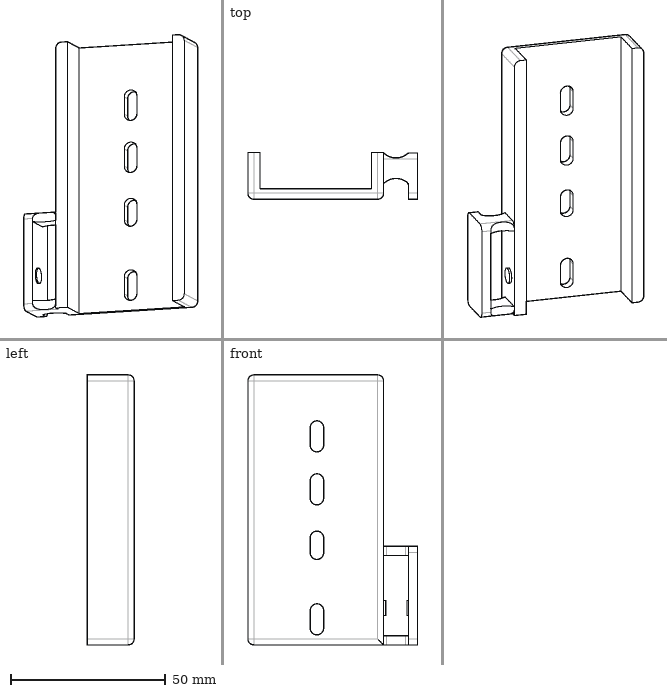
import cadquery as cq

height = 87.5
body_width = 44.0
body_depth = 15.2
side_wall = 4.0
back_wall = 3.5
edge_radius = 2.0

slot_width = 4.3
slot_x = 22.4
slots = [(8.3, 10.0), (32.3, 9.1), (50.4, 10.0), (67.55, 10.0)]

total_width = 55.0
clip_height = 32.0
clip_depth = 15.05
clip_wall = 3.1
gap_start = body_width
gap_end = total_width - clip_wall
gap_width = gap_end - gap_start
gap_middle = (gap_start + gap_end) / 2

front_wall_side_y = 5.2
front_plate_side_y = 4.7
front_corner_mid_inset = 0.35
front_corner_mid_y = 5.4
front_arc_y = 5.9
front_peak_y = 6.7
front_arc_inset = 1.0
rear_low_y = 13.5

stud_diameter = 5.0
wall_stud_height = 0.7
plate_stud_height = 0.4
stud_y = 9.9
stud_z = 12.0


def block(x_start, x_end, depth, z_start, z_end):
    """Box with its front face on y = 0."""
    size = (x_end - x_start, depth, z_end - z_start)
    return cq.Workplane("XY").box(*size, centered=False).translate((x_start, 0, z_start))


def make_channel():
    outer = block(0, body_width, body_depth, 0, height)
    outer = outer.edges("(not >Y) and (not (>X and <Z))").fillet(edge_radius)
    inside = block(side_wall, body_width - side_wall, body_depth, 0, height)
    return outer.cut(inside.translate((0, back_wall, 0)))


def cut_slots(channel):
    for centre_z, length in slots:
        slot = (
            cq.Workplane("XZ", origin=(slot_x, 0, centre_z))
            .slot2D(length, slot_width, 90)
            .extrude(-back_wall)
        )
        channel = channel.cut(slot)
    return channel


def make_clip():
    root_x = body_width - side_wall / 2
    clip = block(root_x, total_width, clip_depth, 0, clip_height)
    clip = clip.edges("|X").fillet(edge_radius)
    window = block(root_x, gap_end, clip_depth, clip_wall, clip_height - clip_wall)

    front_notch = (
        cq.Workplane("XY")
        .moveTo(root_x, 0)
        .lineTo(root_x, front_wall_side_y)
        .lineTo(gap_start, front_wall_side_y)
        .lineTo(gap_start + front_arc_inset, front_arc_y)
        .threePointArc((gap_middle, front_peak_y), (gap_end - front_arc_inset, front_arc_y))
        .threePointArc(
            (gap_end - front_corner_mid_inset, front_corner_mid_y),
            (gap_end, front_plate_side_y),
        )
        .lineTo(gap_end, 0)
        .close()
        .extrude(clip_height)
    )
    rear_notch = (
        cq.Workplane("XY")
        .moveTo(gap_start, clip_depth)
        .threePointArc((gap_middle, rear_low_y), (gap_end, clip_depth))
        .close()
        .extrude(clip_height)
    )
    return clip.cut(window).cut(front_notch).cut(rear_notch)


def make_studs():
    bar = (
        cq.Workplane("YZ", origin=(gap_start, stud_y, stud_z))
        .circle(stud_diameter / 2)
        .extrude(gap_width)
    )
    middle = block(gap_start + wall_stud_height, gap_end - plate_stud_height, body_depth, 0, clip_height)
    return bar.cut(middle)


result = cut_slots(make_channel()).union(make_clip()).union(make_studs())